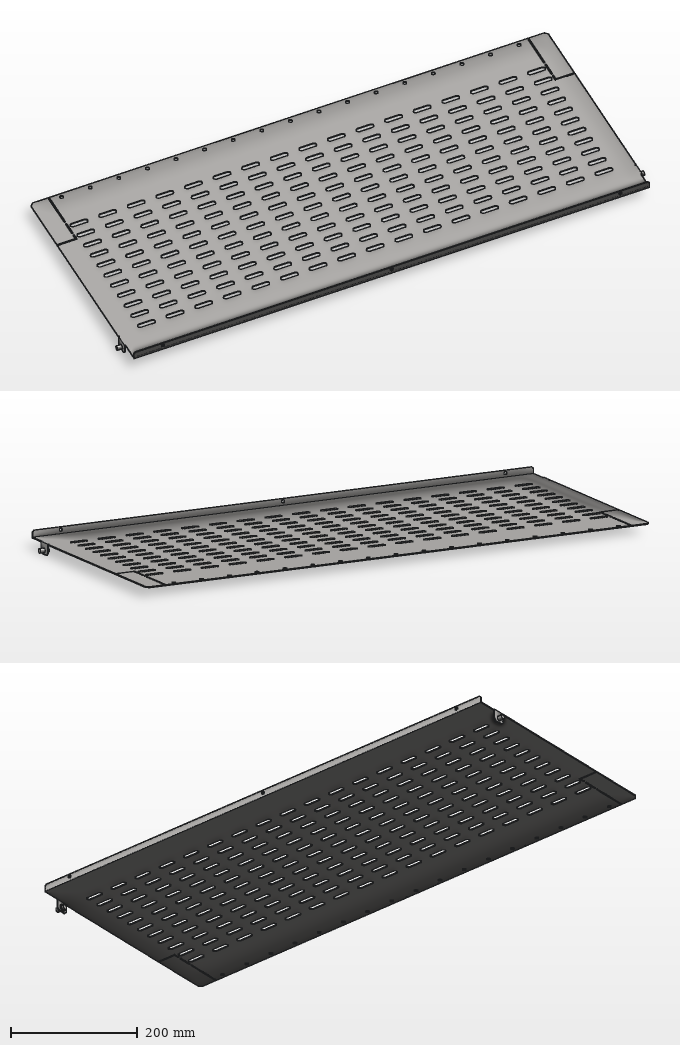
import cadquery as cq

overall_length = 921.0
shelf_depth = 383.0
sheet = 2.0
panel_length = 905.0
panel_corner_chamfer = 5.0

flange_height = 13.0
flange_corner_chamfer = 3.0
flange_hole_diameter = 5.2
flange_hole_height = 8.0

tab_start_x = 330.0
tab_width = 21.0
tab_drop = 17.5
tab_corner_chamfer = 4.0
edge_setback = 2.0
relief_width = 1.4

row_count = 17
row_span = 800.0
column_count = 11
column_span = 250.0
first_column_x = 72.0
slot_straight = 22.0
slot_width = 8.0
small_hole_diameter = 6.1
small_hole_x = 7.0

slit_width = 2.0
slit_reach_x = 103.0
slit_reach_y = 32.0
edge_web = 1.4
web_width = 5.0
web_positions = [63.0, 90.0]

pin_diameter = 7.65
pin_length = 16.0
pin_height = 6.9
collar_diameter = 12.0
collar_thickness = 2.0

panel_end = panel_length / 2
setback_end = panel_end - edge_setback
tab_inside = panel_end - sheet
row_pitch = row_span / (row_count - 1)
column_pitch = column_span / (column_count - 1)
row_positions = [i * row_pitch - row_span / 2 for i in range(row_count)]
column_positions = [first_column_x + i * column_pitch for i in range(column_count)]


def box(x0, x1, y0, y1, z0, z1):
    """Box between two opposite corners."""
    return cq.Workplane("XY").box(x1 - x0, y1 - y0, z1 - z0, centered=False).translate((x0, y0, z0))


def pin_axis_cylinder(diameter, y0, y1):
    """Cylinder on the axis of the +Y pin, from y0 out to y1."""
    centre = (tab_start_x + tab_width / 2, y0, pin_height - tab_drop)
    return cq.Workplane("XZ", origin=centre).circle(diameter / 2).extrude(y0 - y1)


def mirrored(body):
    """The same body at the -Y end."""
    return body.mirror("XZ")


def panel():
    """Flat sheet with chamfered front corners and ends set back beside the tabs and flange."""
    flat = box(0, shelf_depth, -panel_end, panel_end, 0, sheet)
    flat = flat.edges("|Z and <X").chamfer(panel_corner_chamfer)
    setback = box(tab_start_x - relief_width, shelf_depth, setback_end, panel_end, 0, sheet)
    return flat.cut(setback).cut(mirrored(setback))


def flange():
    """Upturned strip with chamfered top corners and holes at the middle and both outer rows."""
    inside_x = shelf_depth - sheet
    strip = box(inside_x, shelf_depth, -setback_end, setback_end, 0, flange_height)
    strip = strip.edges("|X and >Z").chamfer(flange_corner_chamfer)
    holes = (
        cq.Workplane("YZ", origin=(inside_x, 0, flange_hole_height))
        .pushPoints([(y, 0) for y in (row_positions[0], 0, row_positions[-1])])
        .circle(flange_hole_diameter / 2)
        .extrude(sheet)
    )
    return strip.cut(holes)


def tab():
    """Downturned lug at the +Y end, with the hole that carries the pin."""
    lug = box(tab_start_x, tab_start_x + tab_width, tab_inside, panel_end, -tab_drop, sheet)
    lug = lug.edges("|Y and <Z").chamfer(tab_corner_chamfer)
    return lug.cut(pin_axis_cylinder(pin_diameter, tab_inside, panel_end))


def slots():
    """Grid of round-ended slots, long along Y."""
    points = [(x, y) for x in column_positions for y in row_positions]
    return cq.Workplane("XY").pushPoints(points).slot2D(slot_straight + slot_width, slot_width, 90).extrude(sheet)


def small_holes():
    """Row of round holes along the front edge."""
    points = [(small_hole_x, y) for y in row_positions]
    return cq.Workplane("XY").pushPoints(points).circle(small_hole_diameter / 2).extrude(sheet)


def corner_slit():
    """L-shaped slit around the +Y front corner, interrupted by the webs."""
    y1 = panel_end - slit_reach_y
    y0 = y1 - slit_width
    long_leg = box(edge_web, slit_reach_x, y0, y1, 0, sheet)
    for x in web_positions:
        long_leg = long_leg.cut(box(x - web_width / 2, x + web_width / 2, y0, y1, 0, sheet))
    short_leg = box(slit_reach_x - slit_width, slit_reach_x, y0, panel_end - edge_web, 0, sheet)
    return long_leg.union(short_leg)


def shelf():
    """Folded sheet: panel, flange and both tabs in one solid, with all its openings."""
    body = panel().union(flange()).union(tab()).union(mirrored(tab()))
    slit = corner_slit()
    return body.cut(slots()).cut(small_holes()).cut(slit).cut(mirrored(slit))


def pin():
    """Pivot pin at the +Y end, passing through the tab."""
    tip = overall_length / 2
    shank = pin_axis_cylinder(pin_diameter, tip - pin_length, tip)
    collar = pin_axis_cylinder(collar_diameter, tab_inside - collar_thickness, tab_inside)
    return shank.union(collar)


pins = [pin(), mirrored(pin())]

result = cq.Compound.makeCompound([shelf().val(), *[body.val() for body in pins]])